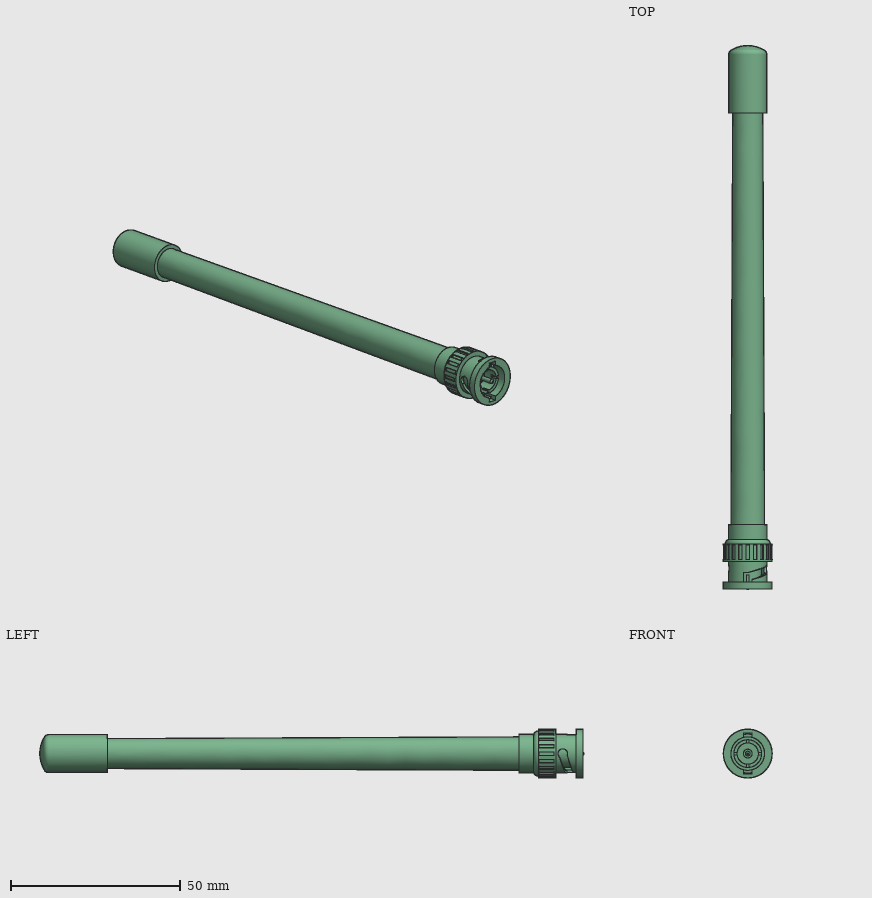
import cadquery as cq


OVERALL_LENGTH = 160.78
SHELL_FRONT = 0.2
FLANGE_END = 2.3
KNURL_START = 8.3
KNURL_END = 13.45
SHELL_BACK = 14.9
FERRULE_END = 19.2
CAP_START = 140.75
CONTACT_FRONT = 2.0
INSULATOR_FACE = 7.0

SHELL_RADIUS = 14.48 / 2
BARREL_RADIUS = 5.75
BORE_RADIUS = 4.95
COLLAR_RADIUS = 6.7
COLLAR_ROUND = 1.4
GROOVE_COUNT = 20
GROOVE_WIDTH = 1.0
GROOVE_DEPTH = 0.5
GROOVE_START = 8.9
GROOVE_END = 13.2

TRACK_WIDTH = 2.4
TRACK_OUTER_RADIUS = 6.1
TRACK_START = 3.85
TRACK_END = 6.25
TURNS_PER_TRACK = 1 / 4
DETENT_DIAMETER = 2.8

CONTACT_RADIUS = 4.1
CONTACT_BORE_RADIUS = 3.15
SLIT_WIDTH = 0.7
SLIT_END = 4.3
PIN_RADIUS = 0.7
PIN_TIP_RADIUS = 0.2
PIN_TIP_LENGTH = 0.5
PIN_BASE_RADIUS = 1.3
PIN_BASE_START = 5.0

WHIP_BASE_RADIUS = 5.03
WHIP_TIP_RADIUS = 4.42
CAP_RADIUS = 5.65
CAP_DOME_HEIGHT = 1.9
CAP_ROUND = 1.4
CAP_END_THICKNESS = 4.0
FERRULE_FLOOR_THICKNESS = 1.0
WHIP_BASE = SHELL_BACK + FERRULE_FLOOR_THICKNESS
WHIP_TIP = OVERALL_LENGTH - CAP_END_THICKNESS


OUTLINE_PLANE = cq.Plane(origin=(0, 0, 0), xDir=(-1, 0, 0), normal=(0, 0, -1))


def turned(points):
    """Revolve an outline of (radius, station) points about the Y axis."""
    return cq.Workplane(OUTLINE_PLANE).polyline(points).close().revolve(360, (0, 0), (0, 1))


def cylinder(radius, start, end):
    return turned([(0, start), (radius, start), (radius, end), (0, end)])


def turned_about_axis(body, angle):
    """Rotate a body about the Y axis, from +Z toward +X."""
    return body.rotate((0, 0, 0), (0, 1, 0), angle)


def make_shell_blank():
    blank = turned([
        (0, SHELL_FRONT),
        (SHELL_RADIUS, SHELL_FRONT),
        (SHELL_RADIUS, FLANGE_END),
        (BARREL_RADIUS, FLANGE_END),
        (BARREL_RADIUS, KNURL_START),
        (SHELL_RADIUS, KNURL_START),
        (SHELL_RADIUS, KNURL_END),
        (0, KNURL_END),
    ])
    collar = cylinder(COLLAR_RADIUS, KNURL_END, SHELL_BACK).faces(">Y").edges().fillet(COLLAR_ROUND)
    return blank.union(collar).cut(cylinder(BORE_RADIUS, SHELL_FRONT, SHELL_BACK))


def cut_knurl(shell):
    """Cut the lengthwise grip grooves, which stop short of both ends of the knurled band."""
    groove = cq.Workplane("XY").box(GROOVE_WIDTH, GROOVE_END - GROOVE_START, 2 * GROOVE_DEPTH)
    groove = groove.translate((0, (GROOVE_START + GROOVE_END) / 2, SHELL_RADIUS))
    for index in range(GROOVE_COUNT):
        shell = shell.cut(turned_about_axis(groove, index * 360 / GROOVE_COUNT))
    return shell


def make_track_ramp():
    """Sweep a rectangle that spans the barrel wall along a helix about the Y axis."""
    rise = TRACK_END - TRACK_START
    wall_middle = (BORE_RADIUS + TRACK_OUTER_RADIUS) / 2
    wall_depth = 2 * (TRACK_OUTER_RADIUS - BORE_RADIUS)
    helix = cq.Wire.makeHelix(rise / TURNS_PER_TRACK, rise, wall_middle)
    ramp = (
        cq.Workplane("XZ")
        .center(wall_middle, 0)
        .rect(wall_depth, TRACK_WIDTH)
        .sweep(cq.Workplane(obj=helix), isFrenet=True)
    )
    ramp_plane = cq.Plane(origin=(0, TRACK_START, 0), xDir=(0, 0, 1), normal=(0, 1, 0))
    return cq.Workplane(ramp.val().moved(cq.Location(ramp_plane)))


def make_track():
    entry = cq.Workplane("XY").box(
        TRACK_WIDTH,
        TRACK_START + TRACK_WIDTH / 2,
        TRACK_OUTER_RADIUS,
        centered=(True, False, False),
    )
    detent = cq.Workplane("XY").circle(DETENT_DIAMETER / 2).extrude(TRACK_OUTER_RADIUS)
    detent = turned_about_axis(detent.translate((0, TRACK_END, 0)), 360 * TURNS_PER_TRACK)
    return entry.union(make_track_ramp()).union(detent)


def cut_bayonet_tracks(shell):
    track = make_track()
    for angle in (0, 180):
        shell = shell.cut(turned_about_axis(track, angle))
    return shell


def make_coupling_shell():
    return cut_bayonet_tracks(cut_knurl(make_shell_blank()))


def make_whip():
    return turned([
        (0, WHIP_BASE),
        (WHIP_BASE_RADIUS, WHIP_BASE),
        (WHIP_TIP_RADIUS, WHIP_TIP),
        (0, WHIP_TIP),
    ])


def cut_contact_slits(core):
    """Slit the mouth of the contact sleeve at each quarter turn."""
    slit = (
        cq.Workplane("XY", origin=(0, 0, (CONTACT_BORE_RADIUS + CONTACT_RADIUS) / 2))
        .box(SLIT_WIDTH, SLIT_END, 2 * (CONTACT_RADIUS - CONTACT_BORE_RADIUS), centered=(True, False, True))
    )
    for angle in (0, 90, 180, 270):
        core = core.cut(turned_about_axis(slit, angle))
    return core


def make_connector_core(whip):
    core = turned([
        (0, 0),
        (PIN_TIP_RADIUS, 0),
        (PIN_RADIUS, PIN_TIP_LENGTH),
        (PIN_RADIUS, PIN_BASE_START),
        (PIN_BASE_RADIUS, PIN_BASE_START),
        (PIN_BASE_RADIUS, INSULATOR_FACE),
        (CONTACT_BORE_RADIUS, INSULATOR_FACE),
        (CONTACT_BORE_RADIUS, CONTACT_FRONT),
        (CONTACT_RADIUS, CONTACT_FRONT),
        (CONTACT_RADIUS, KNURL_START),
        (BORE_RADIUS, KNURL_START),
        (BORE_RADIUS, SHELL_BACK),
        (BARREL_RADIUS, SHELL_BACK),
        (BARREL_RADIUS, FERRULE_END),
        (0, FERRULE_END),
    ])
    return cut_contact_slits(core).cut(whip)


def make_cap(whip):
    """Turn the cap with a shallow spherical end, round its rim and hollow it for the whip."""
    rim = OVERALL_LENGTH - CAP_DOME_HEIGHT
    sphere_radius = (CAP_RADIUS**2 + CAP_DOME_HEIGHT**2) / (2 * CAP_DOME_HEIGHT)
    cap = (
        cq.Workplane(OUTLINE_PLANE)
        .moveTo(0, CAP_START)
        .lineTo(CAP_RADIUS, CAP_START)
        .lineTo(CAP_RADIUS, rim)
        .radiusArc((0, OVERALL_LENGTH), -sphere_radius)
        .close()
        .revolve(360, (0, 0), (0, 1))
    )
    return cap.faces("%CYLINDER").edges(">Y").fillet(CAP_ROUND).cut(whip)


coupling_shell = make_coupling_shell()
whip = make_whip()
connector_core = make_connector_core(whip)
cap = make_cap(whip)

result = cq.Compound.makeCompound(
    [coupling_shell.val(), connector_core.val(), whip.val(), cap.val()]
)